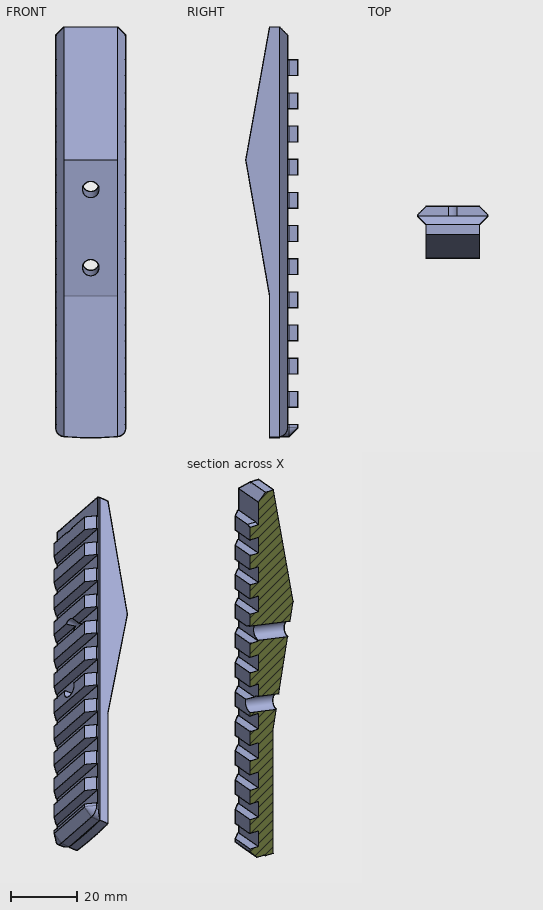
import cadquery as cq
import math

LENGTH = 124.1
RAIL_WIDTH = 21.2
BODY_WIDTH = 16.3
OVERALL_DEPTH = 15.8

TIP_BEVEL = 2.6
EDGE_BAND = 0.5
UNDERCUT = (RAIL_WIDTH - BODY_WIDTH) / 2
BODY_START = TIP_BEVEL + EDGE_BAND + UNDERCUT
BODY_DEPTH = 8.6

PEAK_Z = LENGTH - 40.2
PAD_END_Z = LENGTH - 81.3
PAD_SLOPE = (OVERALL_DEPTH - BODY_DEPTH) / (PEAK_Z - PAD_END_Z)

SLOT_COUNT = 11
FIRST_TO_LAST_TOOTH = 110.1
TOOTH_PITCH = FIRST_TO_LAST_TOOTH / SLOT_COUNT
TOOTH_LENGTH = 4.8
SLOT_LENGTH = TOOTH_PITCH - TOOTH_LENGTH
SLOT_DEPTH = 3.0
FIRST_TOOTH_TOP = LENGTH - 9.9

CORNER_RADIUS = 2.7
END_BULGE = 0.4

HOLE_DIAMETER = 5.0
HOLE_DROPS = (8.9, 32.5)

NOTCH_DIAMETER = 5.0
NOTCH_WIDTH = 2.6


def rail_blank():
    """Plate with rounded lower corners, bevelled along the sides and lower end of the tooth tips."""
    height = LENGTH - END_BULGE
    blank = cq.Workplane("XY").box(RAIL_WIDTH, BODY_START, height, centered=(True, False, False))
    blank = blank.translate((0, -BODY_START, END_BULGE))
    blank = blank.edges("|Y and <Z").fillet(CORNER_RADIUS)
    return blank.edges(">Y").edges("not >Z").chamfer(TIP_BEVEL)


def rail():
    """Plate with bevelled tooth tips, an undercut behind its edges and a sloped top end."""
    half = RAIL_WIDTH / 2
    half_body = BODY_WIDTH / 2
    section = [
        (half, 0), (half, -TIP_BEVEL - EDGE_BAND), (half_body, -BODY_START),
        (-half_body, -BODY_START), (-half, -TIP_BEVEL - EDGE_BAND), (-half, 0),
    ]
    plate = rail_blank().intersect(cq.Workplane("XY").polyline(section).close().extrude(LENGTH))
    top_cut = [(-BODY_START, LENGTH), (0, LENGTH), (0, LENGTH - BODY_START)]
    return plate.cut(cq.Workplane("YZ").polyline(top_cut).close().extrude(RAIL_WIDTH, both=True))


def wedge_body():
    """Straight-sided body carrying the long slope and the screw pad."""
    side = [
        (-BODY_START, 0), (-BODY_DEPTH, 0), (-BODY_DEPTH, PAD_END_Z),
        (-OVERALL_DEPTH, PEAK_Z), (-BODY_DEPTH, LENGTH), (-BODY_START, LENGTH),
    ]
    half = BODY_WIDTH / 2
    body = cq.Workplane("YZ").polyline(side).close().extrude(half, both=True)
    outline = cq.Workplane("XZ").moveTo(-half, LENGTH).lineTo(-half, END_BULGE)
    outline = outline.threePointArc((0, 0), (half, END_BULGE)).lineTo(half, LENGTH).close()
    return body.intersect(outline.extrude(OVERALL_DEPTH))


def slot(bottom, top):
    """Full-width slot down to the slot floor between two heights."""
    block = cq.Workplane("XY").box(RAIL_WIDTH, SLOT_DEPTH, top - bottom, centered=(True, False, False))
    return block.translate((0, -SLOT_DEPTH, bottom))


def tooth_notch():
    """Cylinder parallel to Y that dips into the first tooth by the chord of the notch width."""
    radius = NOTCH_DIAMETER / 2
    axis_height = math.sqrt(radius**2 - (NOTCH_WIDTH / 2) ** 2)
    notch = cq.Workplane("XZ").center(0, FIRST_TOOTH_TOP + axis_height).circle(radius)
    return notch.extrude(SLOT_DEPTH)


def screw_hole(drop):
    """Hole drilled square to the pad, its mouth the given height below the peak."""
    mouth = cq.Vector(0, -OVERALL_DEPTH + drop * PAD_SLOPE, PEAK_Z - drop)
    drill = cq.Vector(0, 1, PAD_SLOPE).normalized()
    start = mouth - drill * HOLE_DIAMETER
    return cq.Workplane(cq.Solid.makeCylinder(HOLE_DIAMETER / 2, 2 * OVERALL_DEPTH, start, drill))


result = rail().union(wedge_body())
result = result.cut(slot(FIRST_TOOTH_TOP, LENGTH))
for i in range(SLOT_COUNT):
    slot_top = FIRST_TOOTH_TOP - TOOTH_LENGTH - i * TOOTH_PITCH
    result = result.cut(slot(slot_top - SLOT_LENGTH, slot_top))
result = result.cut(tooth_notch())
for drop in HOLE_DROPS:
    result = result.cut(screw_hole(drop))